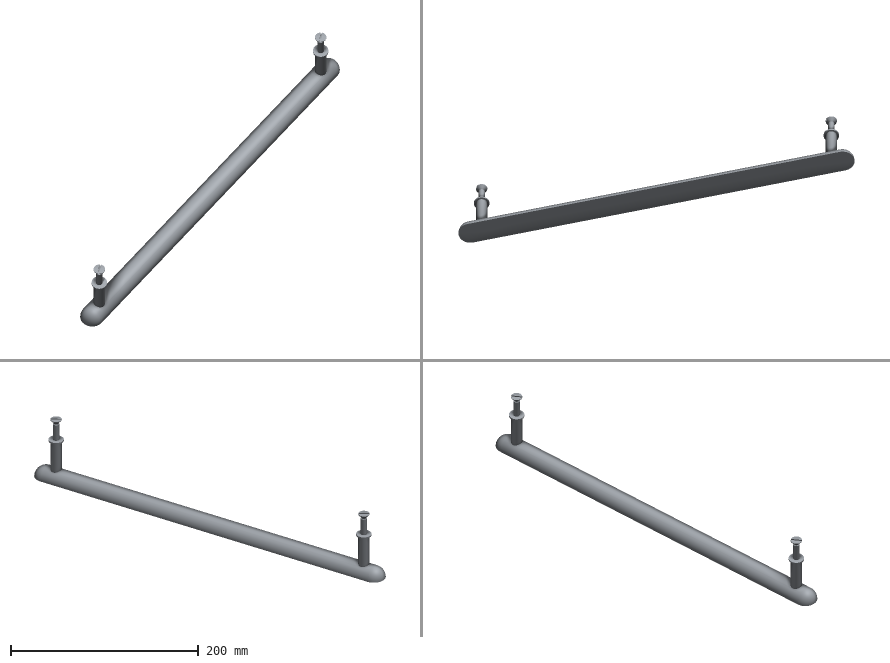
import cadquery as cq

bar_length = 434.0
bar_width = 25.5
bar_radius = bar_width / 2
straight_length = bar_length - 2 * bar_radius

post_spacing = 383.5
post_radius = 6.0
post_top = 47.7
washer_radius = 8.2
washer_thickness = 1.7

screw_top = 74.0
head_radius = 6.0
head_rim = 1.0
shank_radius = 3.5
shank_top = 68.5
neck_radius = 2.0
neck_length = 1.0
screw_engagement = 17.5
slot_width = 1.7
slot_depth = 1.5
slot_angle = -60.0

shank_bottom = post_top - screw_engagement
neck_top = shank_top + neck_length
post_positions = [-post_spacing / 2, post_spacing / 2]


def upright_cylinder(radius, bottom, top, y):
    """Vertical cylinder centred at x = 0 and the given y."""
    return cq.Workplane("XY", origin=(0, y, bottom)).circle(radius).extrude(top - bottom)


def make_handle():
    """Half-round bar with rounded ends and two posts bored for the screws."""
    handle = cq.Workplane("XZ").circle(bar_radius).extrude(straight_length / 2, both=True)
    for end in (-1, 1):
        ball = cq.Workplane("XY", origin=(0, end * straight_length / 2, 0)).sphere(bar_radius)
        handle = handle.union(ball)
    upper_half = cq.Workplane("XY").box(
        2 * bar_length, 2 * bar_length, bar_length, centered=(True, True, False)
    )
    handle = handle.intersect(upper_half)
    for y in post_positions:
        handle = handle.union(upright_cylinder(post_radius, bar_radius / 2, post_top, y))
        handle = handle.cut(upright_cylinder(shank_radius, shank_bottom, post_top, y))
    return handle


def make_washer(y):
    """Flat washer on top of a post, fitting closely around the screw."""
    return (
        cq.Workplane("XY", origin=(0, y, post_top))
        .circle(washer_radius)
        .circle(shank_radius)
        .extrude(washer_thickness)
    )


def make_screw(y):
    """Screw with a narrow neck below its slotted, countersunk head."""
    screw = (
        cq.Workplane("XZ")
        .moveTo(0, shank_bottom)
        .lineTo(shank_radius, shank_bottom)
        .lineTo(shank_radius, shank_top)
        .lineTo(neck_radius, shank_top)
        .lineTo(neck_radius, neck_top)
        .lineTo(head_radius, screw_top - head_rim)
        .lineTo(head_radius, screw_top)
        .lineTo(0, screw_top)
        .close()
        .revolve(360, (0, 0), (0, 1))
    )
    slot = (
        cq.Workplane("XY", origin=(0, 0, screw_top - slot_depth))
        .rect(2 * head_radius, slot_width)
        .extrude(slot_depth)
        .rotate((0, 0, 0), (0, 0, 1), slot_angle)
    )
    return screw.cut(slot).translate((0, y, 0))


handle = make_handle()
washers = [make_washer(y) for y in post_positions]
screws = [make_screw(y) for y in post_positions]

result = cq.Compound.makeCompound(
    [handle.val(), *[washer.val() for washer in washers], *[screw.val() for screw in screws]]
)